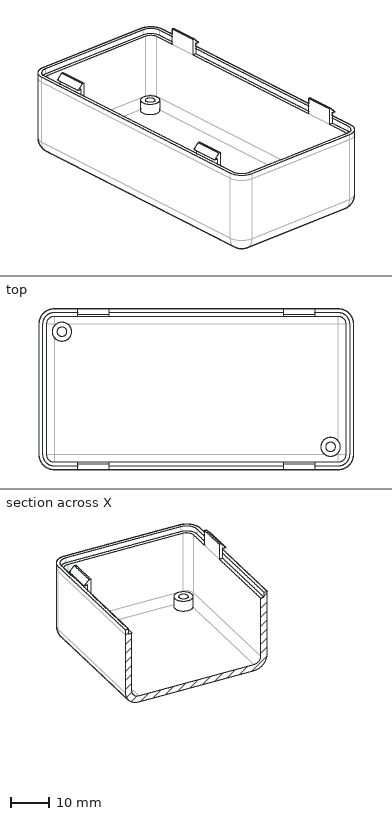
import cadquery as cq

length = 82.0
width = 42.0
wall = 2.0
corner_radius = 4.0
inner_radius = corner_radius - wall

rim_top_z = 23.0
rim_height = 1.5
ledge_z = rim_top_z - rim_height
lip_thickness = wall / 2

hook_width = 8.2
hook_offset = 26.8
hook_gap = 1.5
hook_head_height = 1.5
hook_overhang_z = rim_top_z + hook_gap
hook_top_z = hook_overhang_z + hook_head_height
hook_tip_flat = 0.5

boss_diameter = 5.0
boss_hole_diameter = 2.5
boss_height = 3.0
boss_inset = 6.0


def rounded_block(inset, bottom_z, top_z):
    """Block set in from the outer wall, with its vertical corners rounded to match."""
    block = cq.Workplane("XY").workplane(offset=bottom_z)
    block = block.rect(length - 2 * inset, width - 2 * inset).extrude(top_z - bottom_z)
    return block.edges("|Z").fillet(corner_radius - inset)


def make_tray():
    """Open tray with rounded corners and bottom edges, inside and outside."""
    outside = rounded_block(0, 0, ledge_z).faces("<Z").edges().fillet(corner_radius)
    cavity = rounded_block(wall, wall, ledge_z).faces("<Z").edges().fillet(inner_radius)
    return outside.cut(cavity)


def make_rim():
    """Thin lip around the top that leaves a ledge inside it."""
    return rounded_block(0, ledge_z, rim_top_z).cut(rounded_block(lip_thickness, ledge_z, rim_top_z))


def make_hook(x, side):
    """Snap hook standing on the ledge; side is +1 for the +Y wall and -1 for the -Y wall."""
    outer_y = side * width / 2
    stem_outer_y = outer_y - side * lip_thickness
    stem_inner_y = outer_y - side * wall
    profile = [
        (stem_inner_y, ledge_z),
        (stem_inner_y, hook_top_z),
        (stem_inner_y + side * hook_tip_flat, hook_top_z),
        (outer_y, hook_overhang_z),
        (stem_outer_y, hook_overhang_z),
        (stem_outer_y, ledge_z),
    ]
    start = cq.Workplane("YZ").workplane(offset=x - hook_width / 2)
    return start.polyline(profile).close().extrude(hook_width)


def make_boss(side):
    """Round boss on the floor, overlapping the inner fillet; side is +1 for the +X corner."""
    x = side * (length / 2 - boss_inset)
    y = -side * (width / 2 - boss_inset)
    floor = cq.Workplane("XY").workplane(offset=wall).center(x, y)
    ring = floor.circle(boss_diameter / 2).circle(boss_hole_diameter / 2)
    return ring.extrude(boss_height)


result = make_tray().union(make_rim(), clean=False)
for side in (-1, 1):
    result = result.union(make_boss(side), clean=False)
    for x in (-hook_offset, hook_offset):
        result = result.union(make_hook(x, side), clean=False)